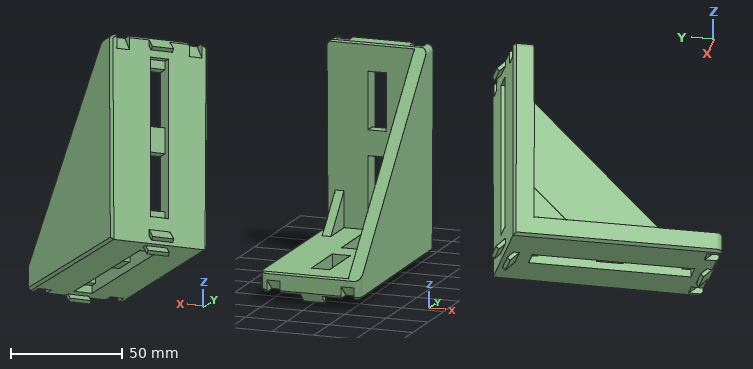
import cadquery as cq
import math

overall_length = 100.4
width = 48.0
leg_length = 96.0
leg_thickness = 9.4
leg_tip_thickness = 8.6
gusset_thickness = 6.1
tip_corner_radius = 3.0
outer_chamfer = 1.2
draft_angle = 0.4

rib_thickness = 4.2
rib_length = 17.1
rib_offset = 4.0

slot_width = 8.6
slot_length = 27.1
slot_centers = (30.2, 69.3)
slot_floor = 5.8
groove_overrun = 4.0

notch_width = 6.2
notch_depth = 5.6
notch_length = 6.8
notch_offset = 3.2

tab_width = 10.3
tab_thickness = 1.9
tab_embed = 1.2
corner_tab_root = 5.1
tab_half_span = tab_thickness / math.sqrt(2)
end_tab_root = leg_length - outer_chamfer - tab_half_span
corner_tab_reach = overall_length - leg_length
end_tab_reach = 4.0

cut_margin = 1.0
center_x = width / 2


def box(x, y, z):
    """Box given by its (low, high) ranges."""
    size = (x[1] - x[0], y[1] - y[0], z[1] - z[0])
    return cq.Workplane("XY").box(*size, centered=False).translate((x[0], y[0], z[0]))


def side_prism(points, x_start, length):
    """Prism along +X over an outline of (Y, Z) points."""
    return cq.Workplane("YZ").workplane(offset=x_start).polyline(points).close().extrude(length)


def to_vertical_leg(shape):
    """Mirror of a horizontal leg feature, which swaps the two legs."""
    return shape.mirror(cq.Vector(0, 1, 1))


def space_beside(x, angle):
    """Space on the -X side of a plane that meets the gusset's sloping edge at x and leans by angle."""
    extent = 3 * leg_length
    middle = (leg_length + leg_tip_thickness) / 2
    block = cq.Workplane("XY").box(extent, extent, extent).translate((x - extent / 2, -middle, middle))
    start = (x, -middle, middle)
    return block.rotate(start, (x, 1 - middle, 1 + middle), angle)


def outer_body():
    """Drafted block with rounded leg ends and a chamfered outer rim, cut along the gusset's slope."""
    block = box((-cut_margin, width + cut_margin), (-leg_length, 0), (0, leg_length))
    block = block.intersect(space_beside(width, draft_angle)).cut(space_beside(0, -draft_angle))
    block = block.faces("<Y or >Z").edges("not |X").fillet(tip_corner_radius)
    block = block.faces(">Y or <Z").edges("not (>Y and <Z)").chamfer(outer_chamfer)
    outline = [
        (0, 0),
        (0, leg_length),
        (-leg_tip_thickness, leg_length),
        (-leg_length, leg_tip_thickness),
        (-leg_length, 0),
    ]
    return block.intersect(side_prism(outline, 0, width))


def inner_pocket():
    """Open space between the legs, bounded by the drafted inner face of the gusset."""
    far = leg_length + cut_margin
    region = box((-cut_margin, width), (-far, -leg_thickness), (leg_thickness, far))
    return region.intersect(space_beside(width - gusset_thickness, draft_angle))


def corner_rib():
    outline = [
        (0, 0),
        (0, leg_thickness + rib_length),
        (-leg_thickness, leg_thickness + rib_length),
        (-leg_thickness - rib_length, leg_thickness),
        (-leg_thickness - rib_length, 0),
    ]
    return side_prism(outline, rib_offset, rib_thickness)


def slots():
    """Two through slots of the horizontal leg, joined by a shallow groove in its outer face."""
    x_range = (center_x - slot_width / 2, center_x + slot_width / 2)
    half = slot_length / 2
    groove_start = slot_centers[0] - half - groove_overrun
    groove_end = slot_centers[1] + half + groove_overrun
    cutter = box(x_range, (-groove_end, -groove_start), (-cut_margin, leg_thickness - slot_floor))
    for center in slot_centers:
        slot = box(x_range, (-center - half, -center + half), (-cut_margin, leg_thickness + cut_margin))
        cutter = cutter.union(slot)
    return cutter


def end_notches():
    """Two wedge notches at the end of the horizontal leg, running out into its outer face."""
    outline = [
        (-leg_length, 0),
        (-leg_length, notch_depth),
        (-leg_length + notch_length, 0),
    ]
    near = side_prism(outline, notch_offset, notch_width)
    far = side_prism(outline, width - notch_offset - notch_width, notch_width)
    return near.union(far)


def locating_tab(root, reach):
    """Tab under the horizontal leg, slanting at 45 degrees towards the outer corner."""
    shift = tab_half_span / 2
    tip = reach - shift
    outline = [
        (-root - tab_embed - tab_half_span, tab_embed),
        (-root - tab_embed + tab_half_span, tab_embed),
        (-root + tip + shift, -tip + shift),
        (-root + tip - shift, -tip - shift),
    ]
    return side_prism(outline, center_x - tab_width / 2, tab_width)


bracket = outer_body().cut(inner_pocket()).union(corner_rib())
for cutter in (slots(), end_notches()):
    bracket = bracket.cut(cutter).cut(to_vertical_leg(cutter))
for tab in (
    locating_tab(corner_tab_root, corner_tab_reach),
    locating_tab(end_tab_root, end_tab_reach),
):
    bracket = bracket.union(tab).union(to_vertical_leg(tab))

result = bracket